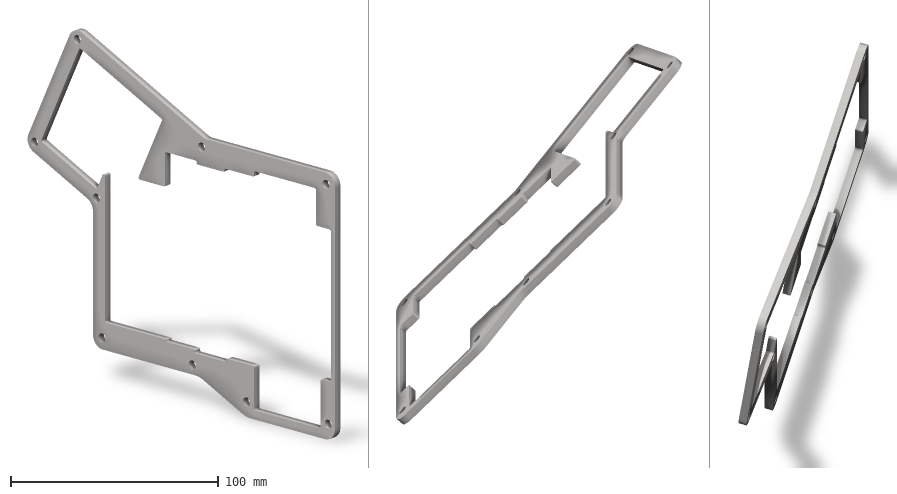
import cadquery as cq
import math


overall_width = 196.54
overall_height = 173.04
thickness = 4.0

frame_right = 154.78
frame_top = 121.8
foot_bottom = -14.1
foot_slope_start_x = 67.9
outer_radius = 6.4
bend_radius = 6.2
foot_radius = 12.0

inner_radius = 0.8
inner_left = 7.7
inner_right = 152.1
middle_x = 103.0

ceiling = 109.5
ceiling_tab_depth = 1.8
ceiling_tab_left = 66.3
ceiling_tab_right = 84.0
raised_ceiling = 112.4
upper_right_block_left = 142.6
upper_right_block_bottom = 93.4

floor_left = 14.1
floor = 13.0
floor_step_x = 46.8
floor_step_radius = 0.5
floor_notch_depth = 1.8
floor_notch_left = 65.0
floor_notch_right = 85.3
foot_floor = -9.4
lower_right_block_left = 145.6
lower_right_block_top = 15.9

tilt = math.radians(25.0)
thumb_size = 74.4
thumb_radius = 6.3
thumb_wall = 8.0
thumb_ledge_length = 39.3
thumb_hole_inset = 5.0
prong_right = 46.1
prong_bottom = 91.8
spike_top = 89.3
spike_tip_radius = 0.5

hole_diameter = 4.5
frame_holes = [
    (2.3, 76.3),
    (5.9, 5.9),
    (63.6, 5.0),
    (98.2, -6.2),
    (150.5, -6.0),
    (149.1, 115.9),
    (69.5, 117.2),
]

thumb_arc_left_x = frame_right - overall_width + thumb_radius
thumb_arc_top_z = foot_bottom + overall_height - thumb_radius
thumb_arc_low_z = thumb_arc_top_z - (thumb_size - 2 * thumb_radius) * math.cos(tilt)
thumb_origin_x = thumb_arc_left_x - thumb_radius * (math.cos(tilt) + math.sin(tilt))
thumb_origin_z = thumb_arc_low_z - thumb_radius * (math.cos(tilt) - math.sin(tilt))


def thumb_point(across, up):
    """Point of the tilted thumb frame, measured from its sharp lower left corner."""
    x = thumb_origin_x + across * math.cos(tilt) + up * math.sin(tilt)
    z = thumb_origin_z - across * math.sin(tilt) + up * math.cos(tilt)
    return x, z


def thumb_edge_at_height(across, z):
    """Where the upright thumb line at the given distance across reaches height z."""
    base_x, base_z = thumb_point(across, 0)
    return base_x + (z - base_z) * math.tan(tilt), z


def thumb_edge_at_x(up, x):
    """Where the crosswise thumb line at the given distance up reaches x."""
    base_x, base_z = thumb_point(0, up)
    return x, base_z - (x - base_x) * math.tan(tilt)


def corner_arc(previous, corner, following, radius):
    """Start, middle and end of the arc that rounds a corner."""
    corner = cq.Vector(*corner)
    back = (cq.Vector(*previous) - corner).normalized()
    ahead = (cq.Vector(*following) - corner).normalized()
    half_angle = back.getAngle(ahead) / 2
    setback = radius / math.tan(half_angle)
    to_arc_middle = radius / math.sin(half_angle) - radius
    start = corner + back * setback
    middle = corner + (back + ahead).normalized() * to_arc_middle
    end = corner + ahead * setback
    return start.toTuple()[:2], middle.toTuple()[:2], end.toTuple()[:2]


def rounded_plate(corners):
    """Plate from a closed outline of (point, corner radius) pairs."""
    points = [point for point, _ in corners]
    sketch = cq.Workplane("XZ")
    for index, (point, radius) in enumerate(corners):
        following = points[(index + 1) % len(points)]
        start, middle, end = corner_arc(points[index - 1], point, following, radius)
        sketch = sketch.moveTo(*start) if index == 0 else sketch.lineTo(*start)
        sketch = sketch.threePointArc(middle, end)
    return sketch.close().extrude(thickness / 2, both=True)


def outer_plate():
    foot_slope_end_x = foot_slope_start_x - foot_bottom / math.tan(tilt)
    thumb_top_base_x, thumb_top_base_z = thumb_point(0, thumb_size)
    top_bend_x = thumb_top_base_x + (thumb_top_base_z - frame_top) / math.tan(tilt)
    return rounded_plate([
        ((0, 0), outer_radius),
        ((foot_slope_start_x, 0), foot_radius),
        ((foot_slope_end_x, foot_bottom), foot_radius),
        ((frame_right, foot_bottom), outer_radius),
        ((frame_right, frame_top), outer_radius),
        ((top_bend_x, frame_top), bend_radius),
        (thumb_point(0, thumb_size), thumb_radius),
        (thumb_point(0, 0), thumb_radius),
        (thumb_edge_at_x(0, 0), bend_radius),
    ])


def opening():
    """Through opening that joins the main window and the tilted thumb window."""
    thumb_far = thumb_size - thumb_wall
    ledge_end = thumb_wall + thumb_ledge_length
    ceiling_tab = ceiling - ceiling_tab_depth
    floor_notch = floor - floor_notch_depth
    main_window = [
        ((inner_left, floor_left), inner_radius),
        ((floor_step_x, floor_left), floor_step_radius),
        ((floor_step_x, floor), floor_step_radius),
        ((floor_notch_left, floor), inner_radius),
        ((floor_notch_left, floor_notch), inner_radius),
        ((floor_notch_right, floor_notch), inner_radius),
        ((floor_notch_right, floor), inner_radius),
        ((middle_x, floor), inner_radius),
        ((middle_x, foot_floor), inner_radius),
        ((lower_right_block_left, foot_floor), inner_radius),
        ((lower_right_block_left, lower_right_block_top), inner_radius),
        ((inner_right, lower_right_block_top), inner_radius),
        ((inner_right, upper_right_block_bottom), inner_radius),
        ((upper_right_block_left, upper_right_block_bottom), inner_radius),
        ((upper_right_block_left, raised_ceiling), inner_radius),
        ((middle_x, raised_ceiling), inner_radius),
        ((middle_x, ceiling), inner_radius),
        ((ceiling_tab_right, ceiling), inner_radius),
        ((ceiling_tab_right, ceiling_tab), inner_radius),
        ((ceiling_tab_left, ceiling_tab), inner_radius),
        ((ceiling_tab_left, ceiling), inner_radius),
        ((prong_right, ceiling), inner_radius),
        ((prong_right, prong_bottom), inner_radius),
    ]
    thumb_window = [
        (thumb_edge_at_height(thumb_far, prong_bottom), inner_radius),
        (thumb_point(thumb_far, thumb_far), inner_radius),
        (thumb_point(thumb_wall, thumb_far), inner_radius),
        (thumb_point(thumb_wall, thumb_wall), inner_radius),
        (thumb_point(ledge_end, thumb_wall), inner_radius),
        (thumb_edge_at_height(ledge_end, spike_top), spike_tip_radius),
        ((inner_left, spike_top), spike_tip_radius),
    ]
    return rounded_plate(main_window + thumb_window)


def screw_holes():
    thumb_holes = [
        thumb_point(thumb_hole_inset, thumb_hole_inset),
        thumb_point(thumb_hole_inset, thumb_size - thumb_hole_inset),
    ]
    return (
        cq.Workplane("XZ")
        .pushPoints(frame_holes + thumb_holes)
        .circle(hole_diameter / 2)
        .extrude(thickness / 2, both=True)
    )


result = outer_plate().cut(opening()).cut(screw_holes())